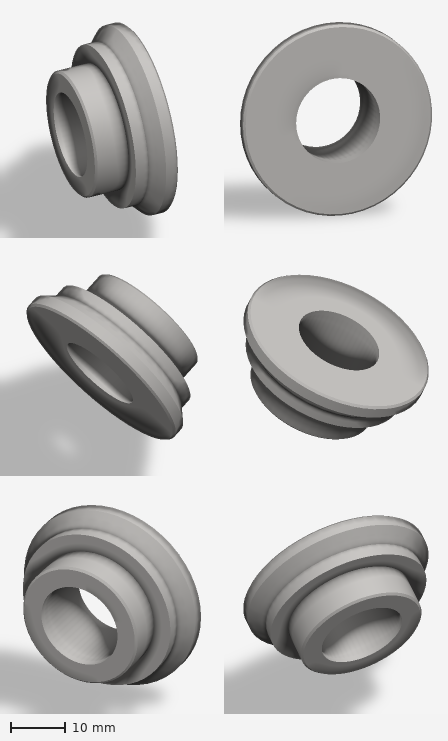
import cadquery as cq

flange_diameter = 36.0
total_length = 14.0
shoulder_diameter = 31.0
hub_diameter = 24.0
bore_diameter = 16.0

rim_length = 2.5
shoulder_length = 2.5
edge_chamfer = 0.4

flange_radius = flange_diameter / 2
shoulder_radius = shoulder_diameter / 2
hub_radius = hub_diameter / 2
bore_radius = bore_diameter / 2
taper_length = flange_radius - shoulder_radius

rim_front = -rim_length
taper_front = rim_front - taper_length
shoulder_front = taper_front - shoulder_length
hub_front = -total_length

profile = (
    cq.Workplane("XY")
    .moveTo(bore_radius, 0)
    .lineTo(flange_radius - edge_chamfer, 0)
    .lineTo(flange_radius, -edge_chamfer)
    .lineTo(flange_radius, rim_front)
    .lineTo(shoulder_radius, taper_front)
    .lineTo(shoulder_radius, shoulder_front)
    .lineTo(hub_radius, shoulder_front)
    .lineTo(hub_radius, hub_front + edge_chamfer)
    .lineTo(hub_radius - edge_chamfer, hub_front)
    .lineTo(bore_radius, hub_front)
    .close()
)

result = profile.revolve(360, (0, 0, 0), (0, 1, 0))